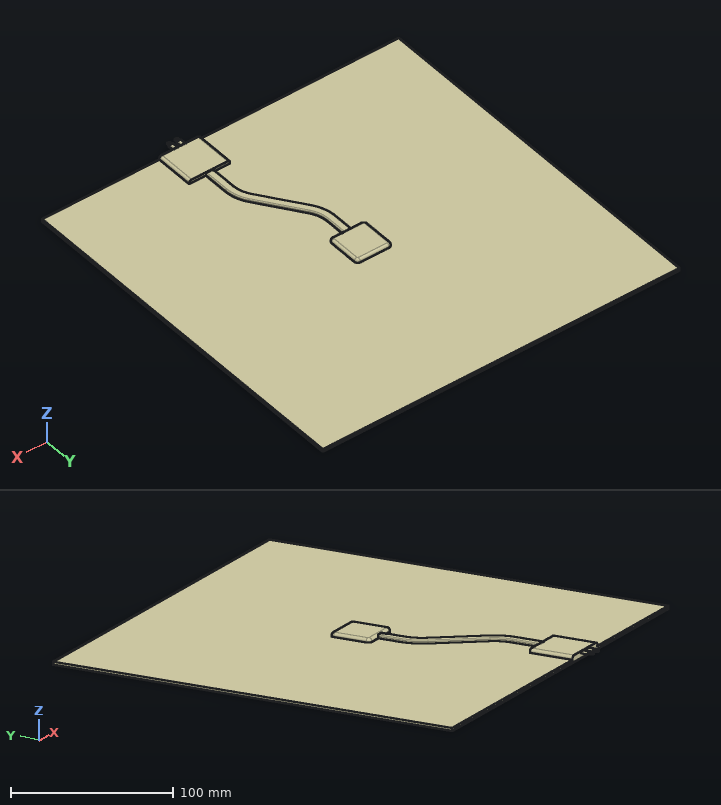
import cadquery as cq
import math

plate_side = 280.0
plate_thickness = 2.0
overall_height = 4.5
overall_length = 287.5
front_face_y = -plate_side / 2

housing_height = overall_height - plate_thickness
edge_radius = 2.0
sensor_side = 28.0
sensor_corner_radius = 2.5
block_width = 32.2
block_length = 30.0
block_center_x = 32.0
block_back_y = front_face_y + block_length

overlap = 3.0

cable_width = 6.0
cable_height = 2.0
cable_edge_radius = 0.75
cable_bend_radius = 26.0
upper_bend_y = -37.5
lower_bend_y = -82.2

lead_length = overall_length - plate_side
lead_body_length = 5.0
lead_body_width = 3.7
lead_body_height = 1.5
lead_tip_width = 2.3
lead_tip_height = 1.0
lead_pitch = 6.0
lead_center_z = plate_thickness + 1.58


def make_plate():
    return cq.Workplane().box(plate_side, plate_side, plate_thickness, centered=(True, True, False))


def make_sensor():
    sensor = (
        cq.Workplane()
        .workplane(offset=plate_thickness)
        .rect(sensor_side, sensor_side)
        .extrude(housing_height)
    )
    return sensor.edges("|Z").fillet(sensor_corner_radius).faces(">Z").edges().fillet(edge_radius)


def make_block():
    """Connector block, flush with the plate's front edge and rounded along both sides."""
    block = (
        cq.Workplane()
        .workplane(offset=plate_thickness)
        .center(block_center_x, front_face_y + block_length / 2)
        .rect(block_width, block_length)
        .extrude(housing_height)
    )
    return block.faces(">Z").edges("|Y").fillet(edge_radius)


def make_cable():
    """Cable that leaves the sensor straight, crosses diagonally and enters the block straight."""
    angle = math.atan2(block_center_x, upper_bend_y - lower_bend_y)
    tangent = cable_bend_radius * math.tan(angle / 2)
    step_x = tangent * math.sin(angle)
    step_y = tangent * math.cos(angle)
    start_y = -sensor_side / 2 + overlap
    path = (
        cq.Workplane("XY", origin=(0, 0, plate_thickness))
        .moveTo(0, start_y)
        .lineTo(0, upper_bend_y + tangent)
        .tangentArcPoint((step_x, upper_bend_y - step_y), relative=False)
        .lineTo(block_center_x - step_x, lower_bend_y + step_y)
        .tangentArcPoint((block_center_x, lower_bend_y - tangent), relative=False)
        .lineTo(block_center_x, block_back_y - overlap)
    )
    section = (
        cq.Sketch()
        .rect(cable_width, cable_height)
        .vertices(">Y")
        .fillet(cable_edge_radius)
        .moved(cq.Location(cq.Vector(0, cable_height / 2, 0)))
    )
    start = cq.Workplane("XZ", origin=(0, start_y, plate_thickness))
    return start.placeSketch(section).sweep(path)


def make_lead(center_x):
    front = cq.Workplane("XZ", origin=(center_x, front_face_y, lead_center_z))
    root = cq.Workplane("XZ", origin=(center_x, front_face_y + overlap, lead_center_z))
    tip = front.slot2D(lead_tip_width, lead_tip_height).extrude(lead_length)
    body = root.slot2D(lead_body_width, lead_body_height).extrude(lead_body_length + overlap)
    return body.union(tip)


result = make_plate().union(make_sensor()).union(make_block()).union(make_cable())
for side in (-1, 1):
    result = result.union(make_lead(block_center_x + side * lead_pitch / 2))